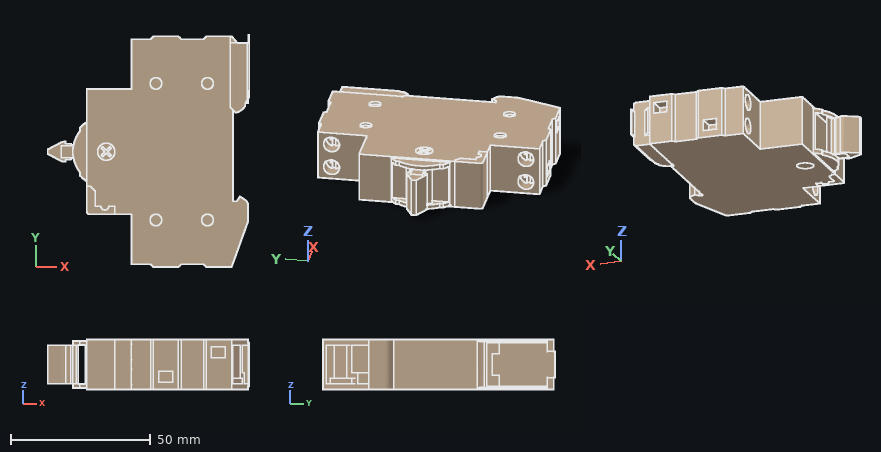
import cadquery as cq
import math


LENGTH = 83.5
HEIGHT = 18.0
HALF_HEIGHT = HEIGHT / 2
FRONT_HALF_WIDTH = 22.55
SHOULDER_X = 16.0
CREST_HALF_WIDTH = 41.5
CREST_HEIGHT = 1.0
SHOULDER_HALF_WIDTH = CREST_HALF_WIDTH - CREST_HEIGHT
CREST_RAMP = 1.0
PAD_1_START_X = 24.0
PAD_1_END_X = 33.0
PAD_2_START_X = 43.0
RAIL_FACE_X = 52.6
CLIP_SEAT_X = 51.5
CLIP_SEAT_END_Y = 16.0
FOOT_BACK_X = 58.0
FOOT_CORNER_X = 52.1
FOOT_SLOPE_END_Y = -25.05
FOOT_ROOT_X = 53.9
FOOT_ROOT_Y = -17.8
FOOT_NOSE = (55.0, -16.0)
FOOT_ROUND_START = (56.95, -17.3)
FOOT_ROUND_MID = (57.8, -18.2)
FOOT_ROUND_END_Y = -19.45

RIVET_HOLE_RADIUS = 2.1
RIVET_HOLE_DEPTH = 1.0
RIVET_HOLE_XS = (24.9, 43.4)
RIVET_HOLE_Y = 24.55

WINDOW_LENGTH = 5.0
WINDOW_HEIGHT = 4.0
WINDOW_DEPTH = 6.0
WINDOW_CENTERS = ((28.5, -4.4), (47.35, 4.4))

FOOT_POCKET_START_X = 52.5
FOOT_POCKET_HALF_HEIGHT = 6.9
DEEP_POCKET_DEPTH = 1.0
DEEP_POCKET_END_X = 55.2
DEEP_POCKET_BOTTOM_Z = -4.9
SHALLOW_POCKET_DEPTH = 0.5
SHALLOW_POCKET_END_X = 55.9
NOTCH_START_X = SHALLOW_POCKET_END_X
NOTCH_STEP_X = 56.6
NOTCH_STEP_Z = -2.9

SCREW_RADIUS = 2.8
SCREW_LENGTH = 4.0
SCREW_RECESS = 5.0
SCREW_Y = 35.5
SCREW_Z = 4.5
SCREW_SLOT_WIDTH = 1.25
SCREW_CROSS_LENGTH = 2.9
SCREW_CROSS_WIDTH = 1.0
SCREW_SLOT_DEPTH = 1.0

PIVOT_X = 7.0
DRUM_RADIUS = 12.8
DRUM_HALF_HEIGHT = 8.5
FLANGE_RADIUS = 12.0
DRUM_STEP_X = -2.4
DRUM_GAP_HALF_HEIGHT = 6.9
DRUM_GAP_FLOOR_X = -0.6
WEB_RADIUS = 11.0
WEB_HALF_WIDTH = 4.7
ARM_HALF_WIDTH = 2.2
ARM_TIP_X = -9.1
TRUNNION_RADIUS = 3.1
TRUNNION_SLOT_LENGTH = 4.35
TRUNNION_SLOT_WIDTH = 0.75
TRUNNION_SLOT_DEPTH = 0.5
TRUNNION_SLOT_ANGLE = 45

HANDLE_TIP_X = -14.0
HANDLE_TIP_HALF_WIDTH = 0.8
HANDLE_SLOPE_END = (-9.3, 3.3)
HANDLE_ROUND_END_X = -8.1
HANDLE_HALF_WIDTH = 3.7
HANDLE_STEP_X = -7.6
NECK_HALF_WIDTH = 2.9
NECK_END_X = -5.8
HANDLE_END_X = -5.0

COVER_TOP_Y = -12.4
COVER_ARM_X = 3.0
COVER_BEVEL = 1.7
COVER_LEDGE_Y = -19.5
COVER_END_X = 10.0
COVER_CORNER_RADIUS = 1.0
TONGUE_X = 6.5
TONGUE_RADIUS = 1.4

CLIP_HALF_HEIGHT = 8.3
CLIP_TOP_Y = 39.1
CLIP_BACK_X = 58.45
CLIP_BEVEL_X = 57.6
CLIP_BEVEL_DROP = 0.5
CLIP_BEVEL_END_Y = 22.0
CLIP_EDGE_RADIUS = 1.0
CLIP_TIP = (53.6, 13.95)
CLIP_END_MID = (55.5, 14.9)
CLIP_END = (57.0, 16.45)
CLIP_LIP_Y = 17.4
CLIP_LIP_X = 58.0
CLIP_LIP_CORNER_Y = 18.5
RIB_END_Y = 19.4
RIB_HALF_HEIGHT = 3.9
TAB_TOP_Y = LENGTH - CREST_HALF_WIDTH
TAB_THICKNESS = 0.4
TAB_HALF_HEIGHT = 4.8
LUG_END_X = 54.2


def block(x_range, y_range, z_range):
    """Axis-aligned box between the given limits."""
    size = [end - start for start, end in (x_range, y_range, z_range)]
    corner = (x_range[0], y_range[0], z_range[0])
    return cq.Workplane("XY").box(*size, centered=False).translate(corner)


def cylinder(radius, half_height):
    """Cylinder about the pivot axis of the toggle."""
    return (
        cq.Workplane("XY", origin=(PIVOT_X, 0, -half_height))
        .circle(radius)
        .extrude(2 * half_height)
    )


def crest_points(side):
    """Points along one terminal end from the shoulder to the last pad; side is +1 or -1."""
    low = side * SHOULDER_HALF_WIDTH
    high = side * CREST_HALF_WIDTH
    return [
        (SHOULDER_X, side * FRONT_HALF_WIDTH),
        (SHOULDER_X, low),
        (PAD_1_START_X - CREST_RAMP, low),
        (PAD_1_START_X, high),
        (PAD_1_END_X, high),
        (PAD_1_END_X + CREST_RAMP, low),
        (PAD_2_START_X - CREST_RAMP, low),
        (PAD_2_START_X, high),
    ]


def make_housing_block():
    seat_drop = RAIL_FACE_X - CLIP_SEAT_X
    return (
        cq.Workplane("XY", origin=(0, 0, -HALF_HEIGHT))
        .polyline([(0, -FRONT_HALF_WIDTH), (0, FRONT_HALF_WIDTH)] + crest_points(1))
        .lineTo(CLIP_SEAT_X, CREST_HALF_WIDTH)
        .lineTo(CLIP_SEAT_X, CLIP_SEAT_END_Y)
        .lineTo(RAIL_FACE_X, CLIP_SEAT_END_Y - seat_drop)
        .lineTo(RAIL_FACE_X, FOOT_ROOT_Y)
        .lineTo(FOOT_ROOT_X, FOOT_ROOT_Y)
        .lineTo(*FOOT_NOSE)
        .lineTo(*FOOT_ROUND_START)
        .threePointArc(FOOT_ROUND_MID, (FOOT_BACK_X, FOOT_ROUND_END_Y))
        .lineTo(FOOT_BACK_X, FOOT_SLOPE_END_Y)
        .lineTo(FOOT_CORNER_X, -CREST_HALF_WIDTH)
        .polyline(crest_points(-1)[::-1], includeCurrent=True)
        .close()
        .extrude(HEIGHT)
    )


def make_rivet_holes():
    centers = [(x, y) for x in RIVET_HOLE_XS for y in (-RIVET_HOLE_Y, RIVET_HOLE_Y)]
    return (
        cq.Workplane("XY", origin=(0, 0, HALF_HEIGHT))
        .pushPoints(centers)
        .circle(RIVET_HOLE_RADIUS)
        .extrude(-RIVET_HOLE_DEPTH)
    )


def make_wire_windows():
    windows = cq.Workplane("XY")
    for x, z in WINDOW_CENTERS:
        for side in (-1, 1):
            window = cq.Workplane("XY").box(WINDOW_LENGTH, 2 * WINDOW_DEPTH, WINDOW_HEIGHT)
            windows = windows.add(window.translate((x, side * CREST_HALF_WIDTH, z)))
    return windows.combine()


def slope_pocket(x_range, z_range, depth):
    """Pocket in the slope of the foot, with its floor parallel to the slope."""
    rise = (FOOT_SLOPE_END_Y + CREST_HALF_WIDTH) / (FOOT_BACK_X - FOOT_CORNER_X)
    floor_offset = depth * math.hypot(1, rise)
    floor_ys = [-CREST_HALF_WIDTH + rise * (x - FOOT_CORNER_X) + floor_offset for x in x_range]
    start_x, end_x = x_range
    return (
        cq.Workplane("XY", origin=(0, 0, z_range[0]))
        .moveTo(start_x, -CREST_HALF_WIDTH)
        .lineTo(end_x, -CREST_HALF_WIDTH)
        .lineTo(end_x, floor_ys[1])
        .lineTo(start_x, floor_ys[0])
        .close()
        .extrude(z_range[1] - z_range[0])
    )


def make_foot_pockets():
    top = FOOT_POCKET_HALF_HEIGHT
    deep = slope_pocket(
        (FOOT_POCKET_START_X, DEEP_POCKET_END_X), (DEEP_POCKET_BOTTOM_Z, top), DEEP_POCKET_DEPTH
    )
    shallow = slope_pocket(
        (FOOT_POCKET_START_X, SHALLOW_POCKET_END_X),
        (-top, DEEP_POCKET_BOTTOM_Z),
        SHALLOW_POCKET_DEPTH,
    )
    notch_y = (-CREST_HALF_WIDTH, FOOT_SLOPE_END_Y)
    notch = block((NOTCH_START_X, FOOT_BACK_X), notch_y, (NOTCH_STEP_Z, top))
    notch_leg = block((NOTCH_STEP_X, FOOT_BACK_X), notch_y, (-top, NOTCH_STEP_Z))
    return deep.union(shallow).union(notch).union(notch_leg)


def screw_centers():
    return [(y, z) for y in (-SCREW_Y, SCREW_Y) for z in (-SCREW_Z, SCREW_Z)]


def make_screw_holes():
    return (
        cq.Workplane("YZ", origin=(SHOULDER_X, 0, 0))
        .pushPoints(screw_centers())
        .circle(SCREW_RADIUS)
        .extrude(SCREW_RECESS + SCREW_LENGTH)
    )


def make_housing(cover_space):
    cavity = cylinder(DRUM_RADIUS, DRUM_HALF_HEIGHT)
    trunnion_hole = cylinder(TRUNNION_RADIUS, HALF_HEIGHT)
    return (
        make_housing_block()
        .cut(cover_space)
        .cut(cavity)
        .cut(trunnion_hole)
        .cut(make_rivet_holes())
        .cut(make_wire_windows())
        .cut(make_foot_pockets())
        .cut(make_screw_holes())
    )


def make_cover():
    """L-shaped corner cover over the full height of the housing."""
    return (
        cq.Workplane("XY", origin=(0, 0, -HALF_HEIGHT))
        .moveTo(0, COVER_TOP_Y)
        .lineTo(COVER_ARM_X - COVER_BEVEL, COVER_TOP_Y)
        .lineTo(COVER_ARM_X, COVER_TOP_Y - COVER_BEVEL)
        .lineTo(COVER_ARM_X, COVER_LEDGE_Y)
        .lineTo(TONGUE_X - TONGUE_RADIUS, COVER_LEDGE_Y)
        .threePointArc(
            (TONGUE_X, COVER_LEDGE_Y - TONGUE_RADIUS),
            (TONGUE_X + TONGUE_RADIUS, COVER_LEDGE_Y),
        )
        .lineTo(COVER_END_X, COVER_LEDGE_Y)
        .lineTo(COVER_END_X, -FRONT_HALF_WIDTH)
        .lineTo(0, -FRONT_HALF_WIDTH)
        .close()
        .extrude(HEIGHT)
    )


def make_drum():
    """Pivoting drum: two flanges, a web with an arm, and flush trunnions."""
    reach = DRUM_RADIUS
    gap_z = (-DRUM_GAP_HALF_HEIGHT, DRUM_GAP_HALF_HEIGHT)
    gap_height = 2 * DRUM_GAP_HALF_HEIGHT

    behind_step = block(
        (DRUM_STEP_X, PIVOT_X + reach), (-reach, reach), (-DRUM_HALF_HEIGHT, DRUM_HALF_HEIGHT)
    )
    body = cylinder(DRUM_RADIUS, DRUM_HALF_HEIGHT).intersect(behind_step)
    body = body.union(cylinder(FLANGE_RADIUS, DRUM_HALF_HEIGHT))
    body = body.cut(block((PIVOT_X - reach, DRUM_GAP_FLOOR_X), (-reach, reach), gap_z))

    web_edge_x = PIVOT_X - math.sqrt(WEB_RADIUS**2 - WEB_HALF_WIDTH**2)
    web = (
        cq.Workplane("XY", origin=(0, 0, gap_z[0]))
        .moveTo(web_edge_x, -WEB_HALF_WIDTH)
        .threePointArc((PIVOT_X - WEB_RADIUS, 0), (web_edge_x, WEB_HALF_WIDTH))
        .close()
        .extrude(gap_height)
    )
    arm = block((ARM_TIP_X, web_edge_x), (-ARM_HALF_WIDTH, ARM_HALF_WIDTH), gap_z)

    slot = (
        cq.Workplane("XY", origin=(PIVOT_X, 0, HALF_HEIGHT))
        .transformed(rotate=(0, 0, TRUNNION_SLOT_ANGLE))
        .rect(TRUNNION_SLOT_LENGTH, TRUNNION_SLOT_WIDTH)
        .extrude(-TRUNNION_SLOT_DEPTH)
    )
    cross = slot.union(slot.rotate((PIVOT_X, 0, 0), (PIVOT_X, 0, 1), 90))
    trunnions = cylinder(TRUNNION_RADIUS, HALF_HEIGHT)
    return body.union(web).union(arm).union(trunnions).cut(cross)


def make_handle():
    """Wedge-shaped grip that slides over the arm of the drum."""
    half = (
        cq.Workplane("XY", origin=(0, 0, -DRUM_GAP_HALF_HEIGHT))
        .moveTo(HANDLE_TIP_X, 0)
        .lineTo(HANDLE_TIP_X, HANDLE_TIP_HALF_WIDTH)
        .lineTo(*HANDLE_SLOPE_END)
        .tangentArcPoint((HANDLE_ROUND_END_X, HANDLE_HALF_WIDTH), relative=False)
        .lineTo(HANDLE_STEP_X, HANDLE_HALF_WIDTH)
        .lineTo(HANDLE_STEP_X, NECK_HALF_WIDTH)
        .lineTo(NECK_END_X, NECK_HALF_WIDTH)
        .lineTo(HANDLE_END_X, ARM_HALF_WIDTH)
        .lineTo(ARM_TIP_X, ARM_HALF_WIDTH)
        .lineTo(ARM_TIP_X, 0)
        .close()
        .extrude(2 * DRUM_GAP_HALF_HEIGHT)
    )
    return half.union(half.mirror("XZ"))


def make_clip():
    """Sliding rail clip with bevelled back edges, a pull tab and a tapered lug."""
    height = 2 * CLIP_HALF_HEIGHT
    plate = (
        cq.Workplane("XY", origin=(0, 0, -CLIP_HALF_HEIGHT))
        .moveTo(CLIP_SEAT_X, CLIP_TOP_Y)
        .lineTo(CLIP_SEAT_X, CLIP_SEAT_END_Y)
        .lineTo(*CLIP_TIP)
        .threePointArc(CLIP_END_MID, CLIP_END)
        .lineTo(CLIP_END[0], CLIP_LIP_Y)
        .lineTo(CLIP_BEVEL_X, CLIP_LIP_CORNER_Y)
        .lineTo(CLIP_BEVEL_X, CLIP_TOP_Y)
        .close()
        .extrude(height)
    )
    plate = plate.edges("<X and |Y").fillet(CLIP_EDGE_RADIUS)

    low_half_height = CLIP_HALF_HEIGHT - CLIP_BEVEL_DROP
    bevelled_back = (
        cq.Workplane("XZ", origin=(0, CLIP_TOP_Y, 0))
        .moveTo(CLIP_BEVEL_X, -CLIP_HALF_HEIGHT)
        .lineTo(CLIP_BACK_X, -low_half_height)
        .lineTo(CLIP_BACK_X, low_half_height)
        .lineTo(CLIP_BEVEL_X, CLIP_HALF_HEIGHT)
        .close()
        .extrude(CLIP_TOP_Y - CLIP_BEVEL_END_Y)
    )
    lip = (
        cq.Workplane("XY", origin=(0, 0, -low_half_height))
        .moveTo(CLIP_END[0], CLIP_LIP_Y)
        .lineTo(CLIP_LIP_X, CLIP_LIP_Y)
        .lineTo(CLIP_LIP_X, CLIP_BEVEL_END_Y)
        .lineTo(CLIP_BEVEL_X, CLIP_BEVEL_END_Y)
        .lineTo(CLIP_BEVEL_X, CLIP_LIP_CORNER_Y)
        .close()
        .extrude(2 * low_half_height)
    )
    rib = block(
        (CLIP_LIP_X, CLIP_BACK_X),
        (RIB_END_Y, CLIP_BEVEL_END_Y),
        (-RIB_HALF_HEIGHT, RIB_HALF_HEIGHT),
    )
    tab = block(
        (CLIP_BACK_X - TAB_THICKNESS, CLIP_BACK_X),
        (CLIP_TOP_Y, TAB_TOP_Y),
        (-TAB_HALF_HEIGHT, TAB_HALF_HEIGHT),
    )
    lug = (
        cq.Workplane("XY", origin=(0, 0, -TAB_HALF_HEIGHT))
        .moveTo(CLIP_SEAT_X, CLIP_TOP_Y)
        .lineTo(CLIP_SEAT_X, CREST_HALF_WIDTH)
        .lineTo(FOOT_CORNER_X, CREST_HALF_WIDTH)
        .lineTo(LUG_END_X, CLIP_TOP_Y)
        .close()
        .extrude(2 * TAB_HALF_HEIGHT)
    )
    return plate.union(bevelled_back).union(lip).union(rib).union(tab).union(lug)


def make_terminal_screw(y, z):
    """Recessed terminal screw with a full-width slot and a short cross slot."""
    head = cq.Workplane("YZ", origin=(SHOULDER_X + SCREW_RECESS, y, z))
    slot = head.rect(SCREW_SLOT_WIDTH, 2 * SCREW_RADIUS).extrude(SCREW_SLOT_DEPTH)
    cross = head.rect(SCREW_CROSS_LENGTH, SCREW_CROSS_WIDTH).extrude(SCREW_SLOT_DEPTH)
    return head.circle(SCREW_RADIUS).extrude(SCREW_LENGTH).cut(slot).cut(cross)


square_cover = make_cover()
housing = make_housing(square_cover)
cover = square_cover.edges("|Z and <X and <Y").fillet(COVER_CORNER_RADIUS)
drum = make_drum()
handle = make_handle()
clip = make_clip()
terminal_screws = [make_terminal_screw(y, z) for y, z in screw_centers()]

result = cq.Compound.makeCompound(
    [
        housing.val(),
        cover.val(),
        drum.val(),
        handle.val(),
        clip.val(),
        *[screw.val() for screw in terminal_screws],
    ]
)